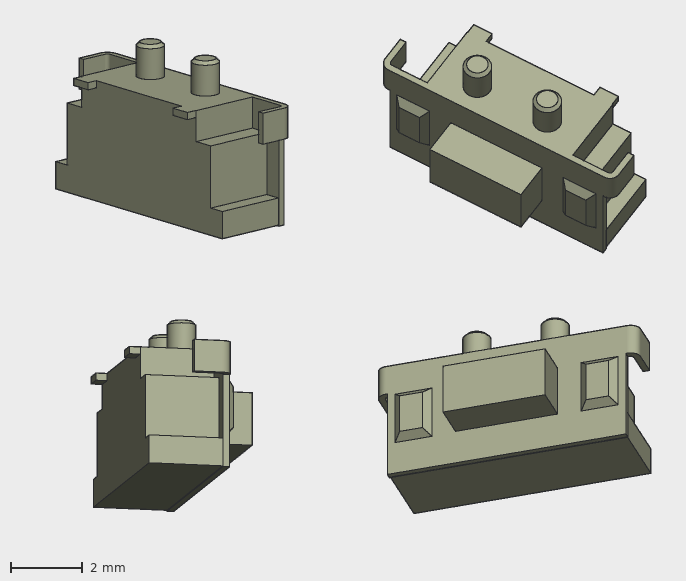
import cadquery as cq

SIDES = (-1, 1)

overall_width = 7.7
plate_width = 7.02
plate_height = 3.52
sheet_thickness = 0.19
leg_height = 0.9
leg_length = 1.09
bend_inner_radius = 0.1
bend_outer_radius = bend_inner_radius + sheet_thickness
leg_bottom = plate_height - leg_height

body_front = -2.3
body_bottom = 0.02
base_width = 6.98
base_top = 0.82
middle_width = 6.005
upper_width = 4.8
body_overlap = 0.08

tab_front = -2.62
tab_width = 0.61
tab_thickness = 0.21
tab_center_x = 2.08

button_width = 3.0
button_height = 1.49
button_length = 1.11
button_center_z = 1.77

bump_width = 1.085
bump_height = 1.57
bump_depth = 0.21
bump_center_x = 2.74
bump_center_z = 1.78

pin_diameter = 0.8
pin_length = 0.99
pin_chamfer = 0.1
pin_spacing = 2.3
pin_center_y = -0.84


def box_between(x_range, y_range, z_range):
    """Box given by its lower and upper limit along each axis."""
    limits = (x_range, y_range, z_range)
    sizes = [upper - lower for lower, upper in limits]
    corner = tuple(lower for lower, upper in limits)
    return cq.Workplane("XY").box(*sizes, centered=False).translate(corner)


def centered_box(center_x, width, y_range, z_range):
    """Box centred on an X position, with limits along Y and Z."""
    x_range = (center_x - width / 2, center_x + width / 2)
    return box_between(x_range, y_range, z_range)


def make_cover():
    """Bent U-shaped strip above a flat plate, both with the same rear face."""
    inner_width = overall_width - 2 * sheet_thickness
    strip_z = (leg_bottom, plate_height)
    strip = centered_box(0, overall_width, (-leg_length, 0), strip_z)
    strip = strip.edges("|Z and >Y").fillet(bend_outer_radius)
    hollow = centered_box(0, inner_width, (-leg_length, -sheet_thickness), strip_z)
    hollow = hollow.edges("|Z and >Y").fillet(bend_inner_radius)
    plate = centered_box(0, plate_width, (-sheet_thickness, 0), (0, plate_height))
    return strip.cut(hollow).union(plate)


def make_body():
    """Three stacked blocks, narrower towards the top, reaching into the plate."""
    y_range = (body_front, -sheet_thickness + body_overlap)
    base = centered_box(0, base_width, y_range, (body_bottom, base_top))
    middle = centered_box(0, middle_width, y_range, (body_bottom, leg_bottom))
    upper = centered_box(0, upper_width, y_range, (body_bottom, plate_height))
    return base.union(middle).union(upper)


def make_tab(side):
    z_range = (plate_height - tab_thickness, plate_height)
    y_range = (tab_front, body_front + body_overlap)
    return centered_box(side * tab_center_x, tab_width, y_range, z_range)


def make_button():
    z_range = (button_center_z - button_height / 2, button_center_z + button_height / 2)
    return centered_box(0, button_width, (-body_overlap, button_length), z_range)


def make_bump(side):
    """Rectangular pyramid frustum with 45 degree flanks."""
    center = (side * bump_center_x, 0, bump_center_z)
    return (
        cq.Workplane("XZ", origin=center)
        .rect(bump_width, bump_height)
        .extrude(-bump_depth, taper=45)
    )


def make_pin(side):
    center = (side * pin_spacing / 2, pin_center_y, plate_height)
    return (
        cq.Workplane("XY", origin=center)
        .circle(pin_diameter / 2)
        .extrude(pin_length)
        .faces(">Z")
        .chamfer(pin_chamfer)
    )


result = make_cover().union(make_body()).union(make_button())
for side in SIDES:
    result = result.union(make_tab(side))
    result = result.union(make_bump(side))
    result = result.union(make_pin(side))